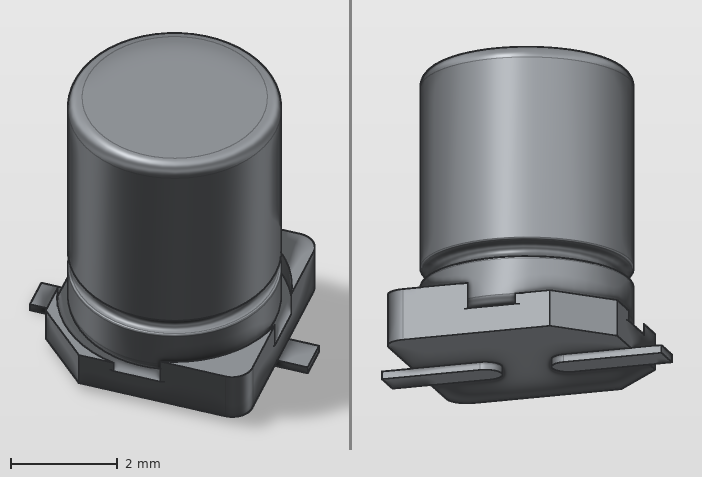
import cadquery as cq

total_height = 5.8
lead_span = 5.5
lead_width = 0.65
lead_thickness = 0.15
lead_gap = 1.0

base_side = 4.3
base_chamfer = 1.0
base_corner_radius = 0.4
low_rim_top = 0.845
high_corner_top = 1.14
recess_radius = 2.2
recess_floor = 0.645

can_radius = 2.0
can_edge_radius = 0.265
groove_center_height = 1.81
groove_radius = 0.16
groove_depth = 0.205
groove_lip = groove_depth - groove_radius


def make_base():
    """Square base with two chamfered and two rounded, taller corners."""
    height = high_corner_top - lead_thickness
    base = cq.Workplane("XY").workplane(offset=lead_thickness).rect(base_side, base_side).extrude(height)
    base = base.edges("|Z and <X").chamfer(base_chamfer)
    base = base.edges("|Z and >X").fillet(base_corner_radius)
    low_half = (
        cq.Workplane("XY")
        .workplane(offset=low_rim_top)
        .rect(base_side, 2 * base_side)
        .extrude(total_height)
        .translate((-base_side / 2, 0, 0))
    )
    recess = cq.Workplane("XY").workplane(offset=recess_floor).circle(recess_radius).extrude(total_height)
    return base.cut(low_half).cut(recess)


def make_can():
    """Revolved can with rounded ends and a crimp groove with rounded lips."""
    flat_radius = can_radius - can_edge_radius
    arc_radius = can_radius - groove_lip
    can = (
        cq.Workplane("XZ")
        .moveTo(0, recess_floor)
        .lineTo(flat_radius, recess_floor)
        .radiusArc((can_radius, recess_floor + can_edge_radius), -can_edge_radius)
        .lineTo(can_radius, groove_center_height - groove_depth)
        .radiusArc((arc_radius, groove_center_height - groove_radius), -groove_lip)
        .threePointArc(
            (can_radius - groove_depth, groove_center_height),
            (arc_radius, groove_center_height + groove_radius),
        )
        .radiusArc((can_radius, groove_center_height + groove_depth), -groove_lip)
        .lineTo(can_radius, total_height - can_edge_radius)
        .radiusArc((flat_radius, total_height), -can_edge_radius)
        .lineTo(0, total_height)
        .close()
        .revolve(360, (0, 0, 0), (0, 1, 0))
    )
    return can


def make_lead(side):
    """Flat lead under the base with a full-round inner end; side is -1 or 1."""
    half_width = lead_width / 2
    outer_end = side * lead_span / 2
    inner_end = side * lead_gap / 2
    round_start = inner_end + side * half_width
    return (
        cq.Workplane("XY")
        .moveTo(outer_end, -half_width)
        .lineTo(round_start, -half_width)
        .threePointArc((inner_end, 0), (round_start, half_width))
        .lineTo(outer_end, half_width)
        .close()
        .extrude(lead_thickness)
    )


result = make_base().union(make_can())
for lead_side in (-1, 1):
    result = result.union(make_lead(lead_side))